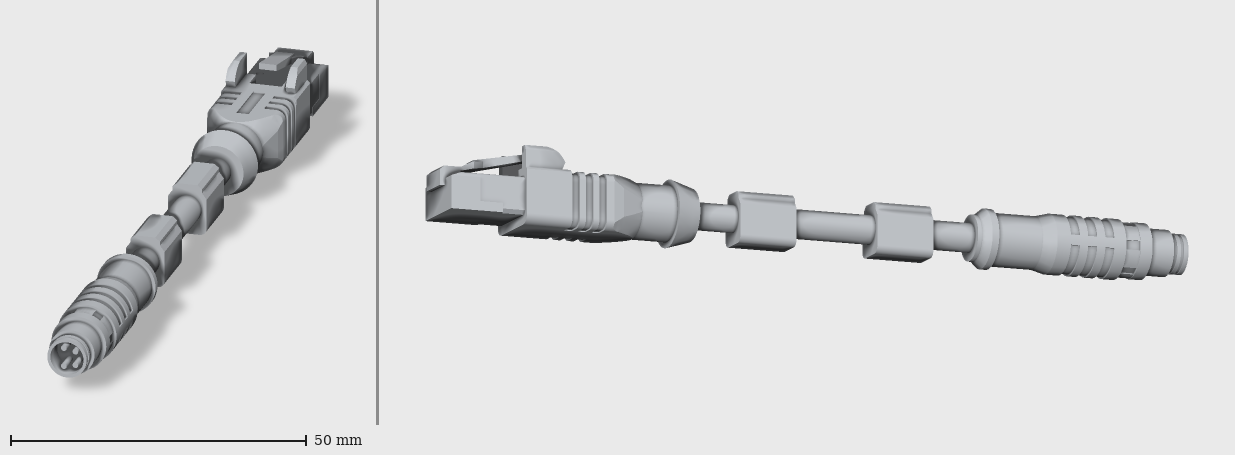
import cadquery as cq
import math


LENGTH = 136.0
OVERLAP = 0.3
SEAT = 1.4

CABLE_RADIUS = 5.0 / 2
CABLE_RADIUS_AT_PLUG = 4.8 / 2

MARKER_LENGTH = 10.2
MARKER_STARTS = (46.4, 71.3)
MARKER_HALF_WIDTH = 3.4
MARKER_STEP_HALF_WIDTH = 2.6
MARKER_TOP_HALF_WIDTH = 1.8
MARKER_SIDE_TOP = 2.0
MARKER_STEP_BOTTOM = 3.1
MARKER_STEP_TOP = 3.8
MARKER_HALF_HEIGHT = 4.5
MARKER_BOTTOM_ROUND = 1.2

TIP_RADIUS = 7.0 / 2
TIP_NECK_RADIUS = 3.3
SPIGOT_RADIUS = 8.0 / 2
NUT_RADIUS = 9.7 / 2
NUT_LAND_RADIUS = 9.4 / 2
NUT_ROOT_RADIUS = 4.4
SLEEVE_RADIUS = 5.2
BARREL_RADIUS = 9.1 / 2
BACK_RADIUS = 8.0 / 2
TIP_LIP_END = 0.8
TIP_RING_START = 1.4
TIP_RING_END = 2.0
SPIGOT_START = 2.9
NUT_START = 7.1
NUT_NOTCH_START = 9.2
SLEEVE_START = 12.0
SLEEVE_END = 24.5
BARREL_START = 26.9
BARREL_END = 35.1
CONE_START = 36.3
CONE_END = 37.7
CONNECTOR_END = 38.5
NOTCH_COUNT = 6
NOTCH_ANGLE = 20.0
GRIP_STARTS = (14.1, 17.3, 20.4)
GRIP_WIDTH = 1.6
GRIP_DEPTH = 0.34
GRIP_RIB_WIDTH = 1.8
BORE_RADIUS = 5.8 / 2
BORE_DEPTH = 4.1
PIN_RADIUS = 0.5
PIN_RECESS = 0.4
PIN_CENTRES = ((-0.7, 1.6), (1.4, 1.2), (1.4, -1.2), (-0.7, -1.6))

BOOT_WIDTH = 13.3
BOOT_HEIGHT = 9.8
BOOT_ROUND = 1.6
BOOT_BACK = 121.6
TAPER_BACK = 105.7
TAPER_FRONT = 98.7
TAPER_BEND = 103.8
TAPER_BEND_HALF_WIDTH = 6.3
TAPER_FRONT_HALF_WIDTH = 4.4
TAPER_CONE_FRONT_RADIUS = 4.4
TAPER_CONE_BACK_RADIUS = 7.6
NECK_RADIUS = 9.7 / 2
COLLAR_FRONT = 89.2
COLLAR_BACK = 93.5
COLLAR_FRONT_RADIUS = 9.1 / 2
COLLAR_BACK_RADIUS = 5.8
RIB_CUT_STARTS = (107.0, 109.5, 111.9)
RIB_CUT_WIDTH = 1.4
RIB_SIDE_DEPTH = 0.61
RIB_TOP_DEPTH = 0.3
RIB_TOP_INNER = 2.9
INLAY_WIDTH = 2.2
INLAY_FRONT = 103.9
INLAY_BACK = 114.0
INLAY_DEPTH = 0.3

EAR_INNER = 4.5
EAR_OUTER = 6.1
EAR_TOP = 8.7
EAR_FLAT_FRONT = 117.5
EAR_ARC_POINT = (115.6, 7.8)
EAR_NOSE = 114.4
EAR_NOSE_HEIGHT = 6.1
EAR_FOOT = 114.9
EAR_BEVEL_WIDTH = 0.8
EAR_BEVEL_HEIGHT = 0.4
SHOULDER_INNER = 4.1
SHOULDER_FRONT = 113.4
SHOULDER_CHAMFER = 0.48

PLUG_WIDTH = 11.8
PLUG_HEIGHT = 6.5
PLUG_BACK = 135.0
PLUG_EDGE = 0.8
BEVEL_LENGTH = 2.2
SIDE_RECESS_DEPTH = 0.1
SIDE_RECESS_BACK = 129.7
SIDE_STEP_BACK = 125.7
SIDE_STEP_Z = -1.6
DIMPLE_X = 3.5
DIMPLES = ((126.1, 0.7), (128.2, 0.5))
DIMPLE_DEPTH = 0.4

LATCH_WIDE = 6.1
LATCH_NARROW = 3.1
LATCH_TAPER_START = 129.7
LATCH_TAPER_END = 127.5
LATCH_TIP = 118.9
LATCH_TOP = 8.2
LATCH_UNDERSIDE = 7.1
LATCH_ROOT_UNDERSIDE = 4.6
LATCH_RAMP_END = 130.0
LATCH_RAMP_TOP = 5.7
LATCH_PAD_HEIGHT = 0.4
LATCH_PAD_START_TOP = 6.3
HOOK_FRONT = 132.2
HOOK_TOP = 4.6
HOOK_BOTTOM = 1.2
HOOK_UNDERSIDE = 4.0
HOOK_FOOT = 2.7
HOOK_BEVEL_LENGTH = 0.8
HOOK_BEVEL_HEIGHT = 0.7
LATCH_PAD_START = 129.3
POCKET_WIDTH = 5.7
POCKET_FRONT = 117.5


def box(x0, x1, y0, y1, z0, z1):
    """Axis-aligned block between the given limits."""
    return cq.Workplane("XY").box(x1 - x0, y1 - y0, z1 - z0, centered=False).translate((x0, y0, z0))


def along_y(sketch_y):
    """Workplane at y = sketch_y with local x = X and local y = Z; a negative extrude runs towards +Y."""
    return cq.Workplane("XZ", origin=(0, sketch_y, 0))


def rod(radius, y0, y1, x=0.0, z=0.0):
    """Cylinder along Y."""
    return along_y(y0).center(x, z).circle(radius).extrude(y0 - y1)


def side_profile(points, x0, x1):
    """Extrude a (y, z) outline from x0 to x1."""
    return cq.Workplane("YZ", origin=(x0, 0, 0)).polyline(points).close().extrude(x1 - x0)


def on_both_sides(shape):
    """Join a shape with its mirror image across the X = 0 plane."""
    return shape.union(shape.mirror("YZ"))


def make_cable():
    middle = MARKER_STARTS[1] + MARKER_LENGTH / 2
    front = rod(CABLE_RADIUS, CONNECTOR_END - SEAT, middle)
    back = rod(CABLE_RADIUS_AT_PLUG, middle, COLLAR_FRONT + SEAT)
    return front.union(back)


def make_marker(y_start):
    """Clip around the cable: flat sides, rounded bottom, stepped bevels at the top."""
    right_side = [
        (MARKER_HALF_WIDTH, -MARKER_HALF_HEIGHT),
        (MARKER_HALF_WIDTH, MARKER_SIDE_TOP),
        (MARKER_STEP_HALF_WIDTH, MARKER_STEP_BOTTOM),
        (MARKER_STEP_HALF_WIDTH, MARKER_STEP_TOP),
        (MARKER_TOP_HALF_WIDTH, MARKER_HALF_HEIGHT),
    ]
    left_side = [(-x, z) for x, z in reversed(right_side)]
    clip = along_y(y_start).polyline(right_side + left_side).close().extrude(-MARKER_LENGTH)
    return clip.edges("|Y and <Z").fillet(MARKER_BOTTOM_ROUND)


def make_connector():
    profile = [
        (0, 0),
        (TIP_RADIUS, 0),
        (TIP_RADIUS, TIP_LIP_END),
        (TIP_NECK_RADIUS, TIP_LIP_END),
        (TIP_NECK_RADIUS, TIP_RING_START),
        (TIP_RADIUS, TIP_RING_START),
        (TIP_RADIUS, TIP_RING_END),
        (TIP_NECK_RADIUS, TIP_RING_END),
        (TIP_NECK_RADIUS, SPIGOT_START),
        (SPIGOT_RADIUS, SPIGOT_START),
        (SPIGOT_RADIUS, NUT_START),
        (NUT_RADIUS, NUT_START),
        (NUT_RADIUS, NUT_NOTCH_START),
        (NUT_LAND_RADIUS, NUT_NOTCH_START),
        (NUT_LAND_RADIUS, SLEEVE_START),
        (SLEEVE_RADIUS, SLEEVE_START),
        (SLEEVE_RADIUS, SLEEVE_END),
        (BARREL_RADIUS, BARREL_START),
        (BARREL_RADIUS, BARREL_END),
        (SLEEVE_RADIUS, BARREL_END),
        (SLEEVE_RADIUS, CONE_START),
        (BACK_RADIUS, CONE_END),
        (BACK_RADIUS, CONNECTOR_END),
        (0, CONNECTOR_END),
    ]
    body = cq.Workplane("XY").polyline(profile).close().revolve(360, (0, 0, 0), (0, 1, 0))
    body = body.cut(make_nut_notches()).cut(make_grip_grooves())
    body = body.cut(rod(BORE_RADIUS, 0, BORE_DEPTH))
    for x, z in PIN_CENTRES:
        body = body.union(rod(PIN_RADIUS, PIN_RECESS, BORE_DEPTH + OVERLAP, x, z))
    return body


def make_nut_notches():
    half_width = NUT_LAND_RADIUS * math.sin(math.radians(NOTCH_ANGLE / 2))
    notch = box(NUT_ROOT_RADIUS, SLEEVE_RADIUS, NUT_NOTCH_START, SLEEVE_START, -half_width, half_width)
    notches = cq.Workplane("XY")
    for i in range(NOTCH_COUNT):
        notches = notches.add(notch.rotate((0, 0, 0), (0, 1, 0), i * 360 / NOTCH_COUNT))
    return notches.combine()


def make_grip_grooves():
    """Ring grooves in the sleeve, interrupted by a lengthwise rib on each side."""
    rib_half = GRIP_RIB_WIDTH / 2
    reach = SLEEVE_RADIUS + OVERLAP
    rib = box(-reach, reach, SLEEVE_START, SLEEVE_END, -rib_half, rib_half)
    grooves = cq.Workplane("XY")
    for y in GRIP_STARTS:
        outer = rod(reach, y, y + GRIP_WIDTH)
        ring = outer.cut(rod(SLEEVE_RADIUS - GRIP_DEPTH, y, y + GRIP_WIDTH))
        grooves = grooves.add(ring.cut(rib))
    return grooves.combine()


def make_boot():
    shell = along_y(TAPER_FRONT).rect(BOOT_WIDTH, BOOT_HEIGHT).extrude(TAPER_FRONT - BOOT_BACK)
    shell = shell.edges("|Y").fillet(BOOT_ROUND)
    shell = shell.intersect(make_taper_plan()).intersect(make_taper_cone())
    shell = shell.union(rod(NECK_RADIUS, COLLAR_BACK - OVERLAP, TAPER_BACK))
    for y in RIB_CUT_STARTS:
        shell = shell.cut(make_rib_cut(y))
    inlay_half = INLAY_WIDTH / 2
    top = BOOT_HEIGHT / 2
    shell = shell.cut(box(-inlay_half, inlay_half, INLAY_FRONT, INLAY_BACK, top - INLAY_DEPTH, top))
    return shell.union(make_collar()).union(make_ears())


def make_taper_plan():
    """Plan outline of the boot, narrowing towards the neck."""
    half_width = BOOT_WIDTH / 2
    right_side = [
        (half_width, BOOT_BACK),
        (half_width, TAPER_BACK),
        (TAPER_BEND_HALF_WIDTH, TAPER_BEND),
        (TAPER_FRONT_HALF_WIDTH, TAPER_FRONT),
    ]
    left_side = [(-x, y) for x, y in reversed(right_side)]
    return cq.Workplane("XY").polyline(right_side + left_side).close().extrude(BOOT_HEIGHT / 2, both=True)


def make_taper_cone():
    """Cone that trims the tapered corners, opening into a plain cylinder around the boot."""
    profile = [
        (0, TAPER_FRONT),
        (TAPER_CONE_FRONT_RADIUS, TAPER_FRONT),
        (TAPER_CONE_BACK_RADIUS, TAPER_BACK),
        (BOOT_WIDTH, TAPER_BACK),
        (BOOT_WIDTH, BOOT_BACK),
        (0, BOOT_BACK),
    ]
    return cq.Workplane("XY").polyline(profile).close().revolve(360, (0, 0, 0), (0, 1, 0))


def make_rib_cut(y):
    """Groove over both sides and onto the outer parts of the top and bottom."""
    core_width = BOOT_WIDTH - 2 * RIB_SIDE_DEPTH
    core_height = BOOT_HEIGHT - 2 * RIB_TOP_DEPTH
    band = along_y(y).rect(BOOT_WIDTH + OVERLAP, BOOT_HEIGHT + OVERLAP).extrude(-RIB_CUT_WIDTH)
    core = along_y(y).rect(core_width, core_height).extrude(-RIB_CUT_WIDTH)
    core = core.edges("|Y").fillet(BOOT_ROUND)
    spine = along_y(y).rect(2 * RIB_TOP_INNER, BOOT_HEIGHT + OVERLAP).extrude(-RIB_CUT_WIDTH)
    return band.cut(core).cut(spine)


def make_collar():
    profile = [
        (0, COLLAR_FRONT),
        (COLLAR_FRONT_RADIUS, COLLAR_FRONT),
        (COLLAR_BACK_RADIUS, COLLAR_BACK),
        (0, COLLAR_BACK),
    ]
    return cq.Workplane("XY").polyline(profile).close().revolve(360, (0, 0, 0), (0, 1, 0))


def make_ears():
    top = BOOT_HEIGHT / 2
    ear = (
        cq.Workplane("YZ", origin=(EAR_INNER, 0, 0))
        .moveTo(BOOT_BACK, 0)
        .lineTo(BOOT_BACK, EAR_TOP)
        .lineTo(EAR_FLAT_FRONT, EAR_TOP)
        .threePointArc(EAR_ARC_POINT, (EAR_NOSE, EAR_NOSE_HEIGHT))
        .lineTo(EAR_FOOT, top)
        .lineTo(EAR_FOOT, 0)
        .close()
        .extrude(EAR_OUTER - EAR_INNER)
    )
    ear = ear.edges("|Y and >Z and >X").chamfer(EAR_BEVEL_HEIGHT, EAR_BEVEL_WIDTH)
    shoulder = box(SHOULDER_INNER, BOOT_WIDTH / 2, SHOULDER_FRONT, BOOT_BACK, 0, top)
    shoulder = shoulder.edges("|Y and >X and >Z").chamfer(SHOULDER_CHAMFER)
    return on_both_sides(ear.union(shoulder))


def make_plug_body():
    half_width = PLUG_WIDTH / 2
    half_height = PLUG_HEIGHT / 2
    body = box(-half_width, half_width, BOOT_BACK - SEAT, PLUG_BACK, -half_height, half_height)
    body = body.edges("|Y and >Z").fillet(PLUG_EDGE)
    front_bevel = [
        (PLUG_BACK, half_height),
        (PLUG_BACK, half_height - PLUG_EDGE),
        (PLUG_BACK - BEVEL_LENGTH, half_height),
    ]
    body = body.cut(side_profile(front_bevel, -half_width, half_width))
    side_outline = [
        (BOOT_BACK, half_height),
        (SIDE_RECESS_BACK, half_height),
        (SIDE_RECESS_BACK, SIDE_STEP_Z),
        (SIDE_STEP_BACK, SIDE_STEP_Z),
        (SIDE_STEP_BACK, -half_height),
        (BOOT_BACK, -half_height),
    ]
    recess = side_profile(side_outline, half_width - SIDE_RECESS_DEPTH, half_width)
    bottom_bevel = along_y(BOOT_BACK).polyline(
        [
            (half_width, -half_height),
            (half_width, -half_height + PLUG_EDGE),
            (half_width - PLUG_EDGE, -half_height),
        ]
    )
    bottom_bevel = bottom_bevel.close().extrude(BOOT_BACK - SIDE_STEP_BACK)
    body = body.cut(on_both_sides(recess)).cut(on_both_sides(bottom_bevel))
    for y, radius in DIMPLES:
        for x in (-DIMPLE_X, DIMPLE_X):
            dimple = cq.Workplane("XY", origin=(x, y, half_height)).circle(radius).extrude(-DIMPLE_DEPTH)
            body = body.cut(dimple)
    return body


def make_latch():
    """Sprung tongue: a hooked root over the plug's end, rising forward between the ears."""
    outline = [
        (LENGTH, HOOK_BOTTOM),
        (LENGTH, HOOK_TOP - HOOK_BEVEL_HEIGHT),
        (LENGTH - HOOK_BEVEL_LENGTH, HOOK_TOP),
        (HOOK_FRONT, HOOK_TOP),
        (LATCH_RAMP_END, LATCH_RAMP_TOP),
        (LATCH_TIP, LATCH_TOP - LATCH_PAD_HEIGHT),
        (LATCH_TIP, LATCH_UNDERSIDE),
        (LATCH_PAD_START, LATCH_ROOT_UNDERSIDE),
        (HOOK_FRONT, HOOK_UNDERSIDE),
        (HOOK_FRONT, HOOK_FOOT),
        (PLUG_BACK - OVERLAP, HOOK_BOTTOM),
    ]
    wide = LATCH_WIDE / 2
    narrow = LATCH_NARROW / 2
    right_side = [
        (wide, LENGTH),
        (wide, LATCH_TAPER_START),
        (narrow, LATCH_TAPER_END),
        (narrow, LATCH_TIP),
    ]
    left_side = [(-x, y) for x, y in reversed(right_side)]
    plan = cq.Workplane("XY").polyline(right_side + left_side).close().extrude(EAR_TOP)
    tongue = side_profile(outline, -wide, wide).intersect(plan)
    pad_outline = [
        (LATCH_PAD_START, LATCH_ROOT_UNDERSIDE),
        (LATCH_PAD_START, LATCH_PAD_START_TOP),
        (LATCH_TIP, LATCH_TOP),
        (LATCH_TIP, LATCH_UNDERSIDE),
    ]
    return tongue.union(side_profile(pad_outline, -narrow, narrow))


def make_latch_pocket():
    half = POCKET_WIDTH / 2
    return box(-half, half, POCKET_FRONT, BOOT_BACK, PLUG_HEIGHT / 2, BOOT_HEIGHT / 2)


result = make_cable().union(make_connector())
for marker_start in MARKER_STARTS:
    result = result.union(make_marker(marker_start))
result = result.union(make_boot()).union(make_plug_body())
result = result.cut(make_latch_pocket()).union(make_latch())